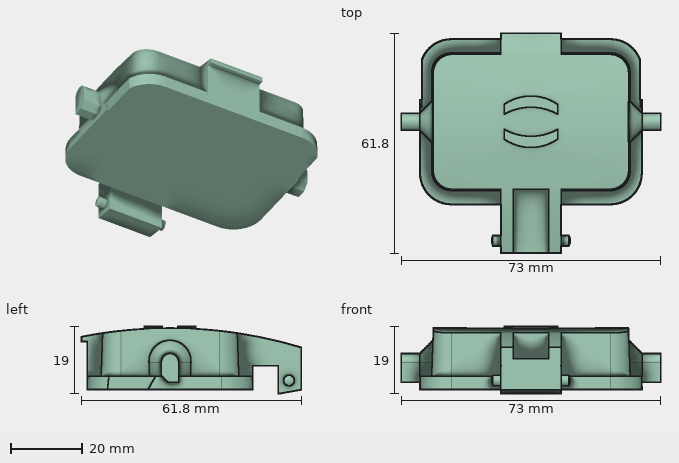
import cadquery as cq
import math

TOTAL_LENGTH = 61.8
TOTAL_HEIGHT = 19

FLANGE_HALF_X = 31.25
FLANGE_HALF_Y = 23.3
FLANGE_HEIGHT = 3.8
FLANGE_CORNER = 8.9
DRAFT_ANGLE = 2

RELIEF_HALF_X = 30.65
RELIEF_START_BOTTOM_Y = 6.2
RELIEF_START_TOP_Y = 4.0

HOUSING_HALF_X = 27.9
HOUSING_HALF_Y = 19.35
HOUSING_CORNER = 5.55

CROWN_APEX = 17.3
CROWN_RADIUS = 127.75

RIB_HALF_WIDTH = 8.5
LIP_END_Y = 24.9
LIP_BOTTOM = 13.4
ARM_END_Y = LIP_END_Y - TOTAL_LENGTH
ARM_UNDERSIDE = 6.65
HOOK_INNER_Y = -30.4
HOOK_LOW_Z = -1.25
HOOK_END_Z = -0.1
CHANNEL_HALF_WIDTH = 5.0
CHANNEL_FLOOR = 8.6
CHANNEL_START_Y = -18.9

LATCH_PIN_DIAMETER = 3.0
LATCH_PIN_TIP_X = 11.0
LATCH_PIN_DOME = 0.4
LATCH_PIN_Y = -33.4
LATCH_PIN_Z = 2.55

HANDLE_END_X = 36.5
HANDLE_RADIUS = 2.4
HANDLE_AXIS_Z = 7.75
HANDLE_BOTTOM = 2.05
HANDLE_BEVEL = 1.8
SHOULDER_OUTER_X = FLANGE_HALF_X
SHOULDER_INNER_X = 27

BAND_TOP = HOOK_LOW_Z + TOTAL_HEIGHT
BAND_HALF_WIDTH = 7.5
BAND_INNER_END_Y = 2.1
BAND_INNER_MID_Y = 4.1
BAND_OUTER_END_Y = 4.9
BAND_OUTER_MID_Y = 7.2
BAND_ROOT = 1.1


def on_both_sides(solid):
    """The solid together with its mirror image in X."""
    return solid.union(solid.mirror("YZ"))


def tapered_block(half_x, half_y, corner, bottom, height):
    """Rounded rectangular block narrowing upwards by the draft angle."""
    outline = cq.Sketch().rect(2 * half_x, 2 * half_y).vertices().fillet(corner)
    return (
        cq.Workplane("XY")
        .workplane(offset=bottom)
        .placeSketch(outline)
        .extrude(height, taper=DRAFT_ANGLE)
    )


def make_flange():
    """Drafted base plate with the side reliefs cut along a slanted front edge."""
    flange = tapered_block(FLANGE_HALF_X, FLANGE_HALF_Y, FLANGE_CORNER, 0, FLANGE_HEIGHT)
    relief = (
        cq.Workplane("YZ")
        .workplane(offset=RELIEF_HALF_X)
        .moveTo(RELIEF_START_BOTTOM_Y, 0)
        .lineTo(RELIEF_START_TOP_Y, FLANGE_HEIGHT)
        .lineTo(FLANGE_HALF_Y, FLANGE_HEIGHT)
        .lineTo(FLANGE_HALF_Y, 0)
        .close()
        .extrude(FLANGE_HALF_X - RELIEF_HALF_X)
    )
    return flange.cut(on_both_sides(relief))


def make_housing():
    """Tapered block, still without its crowned top."""
    height = CROWN_APEX - FLANGE_HEIGHT
    return tapered_block(HOUSING_HALF_X, HOUSING_HALF_Y, HOUSING_CORNER, FLANGE_HEIGHT, height)


def make_rib():
    """Lip, latch arm and hook in one side profile, still with a flat top."""
    return (
        cq.Workplane("YZ")
        .moveTo(ARM_END_Y, CROWN_APEX)
        .lineTo(LIP_END_Y, CROWN_APEX)
        .lineTo(LIP_END_Y, LIP_BOTTOM)
        .lineTo(FLANGE_HALF_Y, LIP_BOTTOM)
        .lineTo(FLANGE_HALF_Y, 0)
        .lineTo(-FLANGE_HALF_Y, 0)
        .lineTo(-FLANGE_HALF_Y, ARM_UNDERSIDE)
        .lineTo(HOOK_INNER_Y, ARM_UNDERSIDE)
        .lineTo(HOOK_INNER_Y, HOOK_LOW_Z)
        .lineTo(ARM_END_Y, HOOK_END_Z)
        .close()
        .extrude(RIB_HALF_WIDTH, both=True)
    )


def make_crown():
    """Cylinder along X whose upper side is the crowned top; it encloses everything below."""
    return (
        cq.Workplane("YZ")
        .center(0, CROWN_APEX - CROWN_RADIUS)
        .circle(CROWN_RADIUS)
        .extrude(HANDLE_END_X, both=True)
    )


def make_channel():
    """Open channel along the top of the latch arm."""
    return cq.Workplane("XY").box(
        2 * CHANNEL_HALF_WIDTH,
        CHANNEL_START_Y - ARM_END_Y,
        CROWN_APEX - CHANNEL_FLOOR,
        centered=(True, False, False),
    ).translate((0, ARM_END_Y, CHANNEL_FLOOR))


def make_latch_pin():
    """One pin reaching both ways out of the arm, with shallow domed ends."""
    radius = LATCH_PIN_DIAMETER / 2
    shoulder_x = LATCH_PIN_TIP_X - LATCH_PIN_DOME
    dome_radius = (radius**2 + LATCH_PIN_DOME**2) / (2 * LATCH_PIN_DOME)
    half_radius = radius / 2
    half_x = LATCH_PIN_TIP_X - dome_radius + math.sqrt(dome_radius**2 - half_radius**2)
    pin = (
        cq.Workplane("XY")
        .moveTo(-shoulder_x, radius)
        .lineTo(shoulder_x, radius)
        .threePointArc((half_x, half_radius), (LATCH_PIN_TIP_X, 0))
        .lineTo(-LATCH_PIN_TIP_X, 0)
        .threePointArc((-half_x, half_radius), (-shoulder_x, radius))
        .close()
        .revolve(360, (0, 0, 0), (1, 0, 0))
    )
    return pin.translate((0, LATCH_PIN_Y, LATCH_PIN_Z))


def make_handle_pin():
    """Pin on the +X side: round on top, straight below, bevelled at the back bottom edge."""
    return (
        cq.Workplane("YZ")
        .workplane(offset=SHOULDER_INNER_X)
        .moveTo(-HANDLE_RADIUS, HANDLE_BOTTOM)
        .lineTo(-HANDLE_RADIUS, HANDLE_AXIS_Z)
        .threePointArc((0, HANDLE_AXIS_Z + HANDLE_RADIUS), (HANDLE_RADIUS, HANDLE_AXIS_Z))
        .lineTo(HANDLE_RADIUS, HANDLE_BOTTOM + HANDLE_BEVEL)
        .lineTo(HANDLE_RADIUS - HANDLE_BEVEL, HANDLE_BOTTOM)
        .close()
        .extrude(HANDLE_END_X - SHOULDER_INNER_X)
    )


def make_shoulder():
    """Shoulder on the +X side: half a cone over a wedge that stands on the flange."""
    inner_radius = HANDLE_RADIUS + SHOULDER_OUTER_X - SHOULDER_INNER_X
    half_plan = [
        (SHOULDER_INNER_X, 0),
        (SHOULDER_INNER_X, inner_radius),
        (SHOULDER_OUTER_X, HANDLE_RADIUS),
        (SHOULDER_OUTER_X, 0),
    ]
    axis_plane = cq.Workplane("XY").workplane(offset=HANDLE_AXIS_Z)
    cone = axis_plane.polyline(half_plan).close().revolve(180, (0, 0, 0), (1, 0, 0))
    half_wedge = axis_plane.polyline(half_plan).close().extrude(FLANGE_HEIGHT - HANDLE_AXIS_Z)
    return cone.union(half_wedge).union(half_wedge.mirror("XZ"))


def make_bands():
    """The back band and its mirror image at the front, with flat tops."""
    band = (
        cq.Workplane("XY")
        .workplane(offset=BAND_TOP)
        .moveTo(-BAND_HALF_WIDTH, BAND_INNER_END_Y)
        .threePointArc((0, BAND_INNER_MID_Y), (BAND_HALF_WIDTH, BAND_INNER_END_Y))
        .lineTo(BAND_HALF_WIDTH, BAND_OUTER_END_Y)
        .threePointArc((0, BAND_OUTER_MID_Y), (-BAND_HALF_WIDTH, BAND_OUTER_END_Y))
        .close()
        .extrude(-BAND_ROOT)
    )
    return band.union(band.mirror("XZ"))


result = (
    make_flange()
    .union(make_housing())
    .union(make_rib())
    .intersect(make_crown())
    .cut(make_channel())
    .union(make_latch_pin())
    .union(on_both_sides(make_handle_pin().union(make_shoulder())))
    .union(make_bands())
    .solids()
)